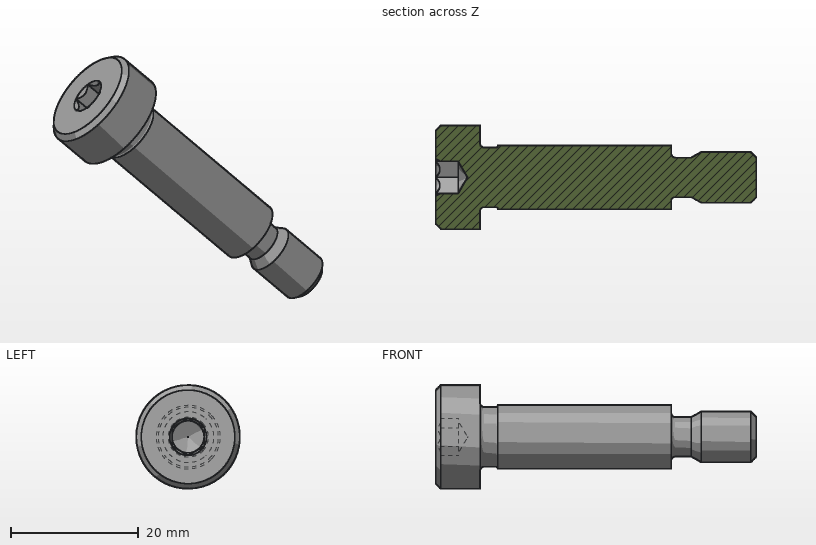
import cadquery as cq
import math

total_length = 50.25
head_length = 7.0
shoulder_start = 9.7
shoulder_end = 36.95
thread_relief_end = 40.05
thread_start = 41.6

head_diameter = 16.3
neck_diameter = 9.4
shoulder_diameter = 10.0
thread_relief_diameter = 6.25
thread_diameter = 8.0

head_chamfer = 0.8
tip_chamfer = 0.85
head_fillet = 0.6
shoulder_fillet = 0.2
relief_fillet = 0.6

socket_width = 5.0
socket_depth = 3.5
socket_corner_diameter = socket_width / math.cos(math.radians(30))
mouth_half_angle = 30.0
bottom_half_angle = 60.0


def fillet_middle(center_x, center_radius, radius, side):
    """Midpoint of a quarter arc bulging towards the axis; side is -1 or +1 along X."""
    offset = radius * math.sqrt(0.5)
    return center_x + side * offset, center_radius - offset


def make_body():
    """Revolve the half outline of the screw about the X axis."""
    head_radius = head_diameter / 2
    neck_radius = neck_diameter / 2
    shoulder_radius = shoulder_diameter / 2
    relief_radius = thread_relief_diameter / 2
    thread_radius = thread_diameter / 2

    head_fillet_x = head_length + head_fillet
    head_fillet_radius = neck_radius + head_fillet
    shoulder_fillet_x = shoulder_start - shoulder_fillet
    shoulder_fillet_radius = neck_radius + shoulder_fillet
    relief_fillet_x = shoulder_end + relief_fillet
    relief_fillet_radius = relief_radius + relief_fillet

    outline = (
        cq.Workplane("XY")
        .moveTo(0, 0)
        .lineTo(0, head_radius - head_chamfer)
        .lineTo(head_chamfer, head_radius)
        .lineTo(head_length, head_radius)
        .lineTo(head_length, head_fillet_radius)
        .threePointArc(
            fillet_middle(head_fillet_x, head_fillet_radius, head_fillet, -1),
            (head_fillet_x, neck_radius),
        )
        .lineTo(shoulder_fillet_x, neck_radius)
        .threePointArc(
            fillet_middle(shoulder_fillet_x, shoulder_fillet_radius, shoulder_fillet, 1),
            (shoulder_start, shoulder_fillet_radius),
        )
        .lineTo(shoulder_start, shoulder_radius)
        .lineTo(shoulder_end, shoulder_radius)
        .lineTo(shoulder_end, relief_fillet_radius)
        .threePointArc(
            fillet_middle(relief_fillet_x, relief_fillet_radius, relief_fillet, -1),
            (relief_fillet_x, relief_radius),
        )
        .lineTo(thread_relief_end, relief_radius)
        .lineTo(thread_start, thread_radius)
        .lineTo(total_length - tip_chamfer, thread_radius)
        .lineTo(total_length, thread_radius - tip_chamfer)
        .lineTo(total_length, 0)
        .close()
    )
    return outline.revolve(360, (0, 0, 0), (1, 0, 0))


def make_cone(start_x, diameter, half_angle):
    """Cone that narrows towards +X."""
    height = diameter / 2 / math.tan(math.radians(half_angle))
    return cq.Workplane(
        cq.Solid.makeCone(diameter / 2, 0, height, cq.Vector(start_x, 0, 0), cq.Vector(1, 0, 0))
    )


def make_socket():
    """Hexagonal recess with corners on the Z axis, a countersunk mouth and a conical bottom."""
    hexagon = (
        cq.Workplane("YZ")
        .transformed(rotate=(0, 0, 30))
        .polygon(6, socket_corner_diameter)
        .extrude(socket_depth)
    )
    mouth = make_cone(0, socket_corner_diameter, mouth_half_angle)
    bottom = make_cone(socket_depth, socket_width, bottom_half_angle)
    return hexagon.union(mouth).union(bottom)


result = make_body().cut(make_socket())